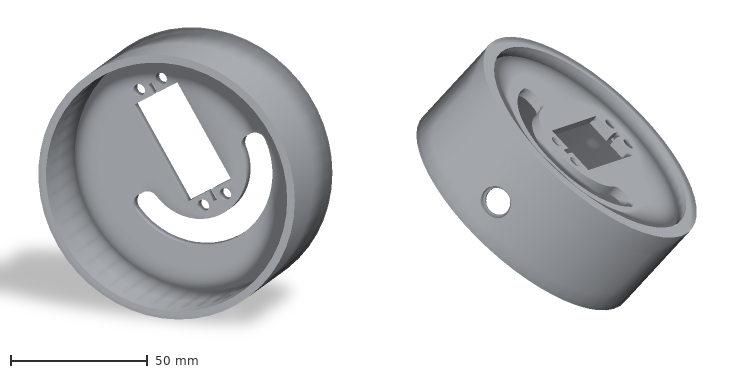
import cadquery as cq
import math

outer_diameter = 100.0
total_depth = 39.0
cap_depth = 9.0
plate_thickness = 4.0
housing_bore = 94.0
cap_recess_diameter = 90.0
housing_depth = total_depth - cap_depth
cap_rim_depth = cap_depth - plate_thickness

wire_hole_diameter = 10.0
wire_hole_angle = -60.0
wire_hole_from_front = 15.0
counterbore_diameter = 12.0
counterbore_depth = 2.0
counterbore_floor_radius = outer_diameter / 2 - counterbore_depth

servo_angle = 31.2
servo_offset = 10.0
servo_width = 20.0
servo_length = 40.5
screw_hole_diameter = 4.46
screw_spacing_across = 10.0
screw_spacing_along = 48.3
notch_width = 2.0
notch_depth = 4.2
notched_length = servo_length + 2 * notch_depth

slot_inner_radius = 20.0
slot_outer_radius = 30.0
slot_start_angle = 210.5
slot_end_angle = 394.0
slot_corner_radius = 4.0


def disc(diameter, front, depth):
    """Disc along +Y whose front face is at Y = front."""
    return cq.Workplane("XZ", origin=(0, front, 0)).circle(diameter / 2).extrude(-depth)


def plate_plane(angle=0.0):
    """Front face of the plate, with local X turned from X toward Z by the given angle."""
    turn = math.radians(angle)
    return cq.Workplane(cq.Plane(
        origin=(0, housing_depth, 0),
        xDir=(math.cos(turn), 0, math.sin(turn)),
        normal=(0, -1, 0),
    ))


def ring_point(radius, angle):
    """Point on a circle about the local origin, angle in degrees."""
    turn = math.radians(angle)
    return radius * math.cos(turn), radius * math.sin(turn)


def make_housing():
    """Open tube with one radial hole in its wall, counterbored from outside."""
    tube = disc(outer_diameter, 0, housing_depth).cut(disc(housing_bore, 0, housing_depth))
    outward_x, outward_z = ring_point(1, wire_hole_angle)
    hole_plane = cq.Plane(
        origin=(0, wire_hole_from_front, 0),
        xDir=(0, 1, 0),
        normal=(outward_x, 0, outward_z),
    )
    wire_hole = cq.Workplane(hole_plane).circle(wire_hole_diameter / 2).extrude(outer_diameter)
    counterbore = (
        cq.Workplane(hole_plane)
        .workplane(offset=counterbore_floor_radius)
        .circle(counterbore_diameter / 2)
        .extrude(outer_diameter)
    )
    return tube.cut(wire_hole).cut(counterbore)


def servo_cutout():
    """Rectangular window with an end notch and two screw holes at each end."""
    mount = plate_plane(servo_angle).center(0, servo_offset)
    window = mount.rect(servo_width, servo_length).extrude(-plate_thickness)
    notches = mount.rect(notch_width, notched_length).extrude(-plate_thickness)
    screw_holes = (
        mount.rect(screw_spacing_across, screw_spacing_along, forConstruction=True)
        .vertices()
        .circle(screw_hole_diameter / 2)
        .extrude(-plate_thickness)
    )
    return window.union(notches).union(screw_holes)


def curved_slot():
    """Ring sector with radial ends and rounded corners."""
    middle_angle = (slot_start_angle + slot_end_angle) / 2
    return (
        plate_plane()
        .moveTo(*ring_point(slot_inner_radius, slot_start_angle))
        .threePointArc(
            ring_point(slot_inner_radius, middle_angle),
            ring_point(slot_inner_radius, slot_end_angle),
        )
        .lineTo(*ring_point(slot_outer_radius, slot_end_angle))
        .threePointArc(
            ring_point(slot_outer_radius, middle_angle),
            ring_point(slot_outer_radius, slot_start_angle),
        )
        .close()
        .extrude(-plate_thickness)
        .edges("|Y")
        .fillet(slot_corner_radius)
    )


def make_cap():
    """Mounting plate with a rim behind it, closing the back of the housing."""
    blank = disc(outer_diameter, housing_depth, cap_depth)
    recess = disc(cap_recess_diameter, housing_depth + plate_thickness, cap_rim_depth)
    return blank.cut(recess).cut(servo_cutout()).cut(curved_slot())


housing = make_housing()
cap = make_cap()

result = cq.Compound.makeCompound([housing.val(), cap.val()])